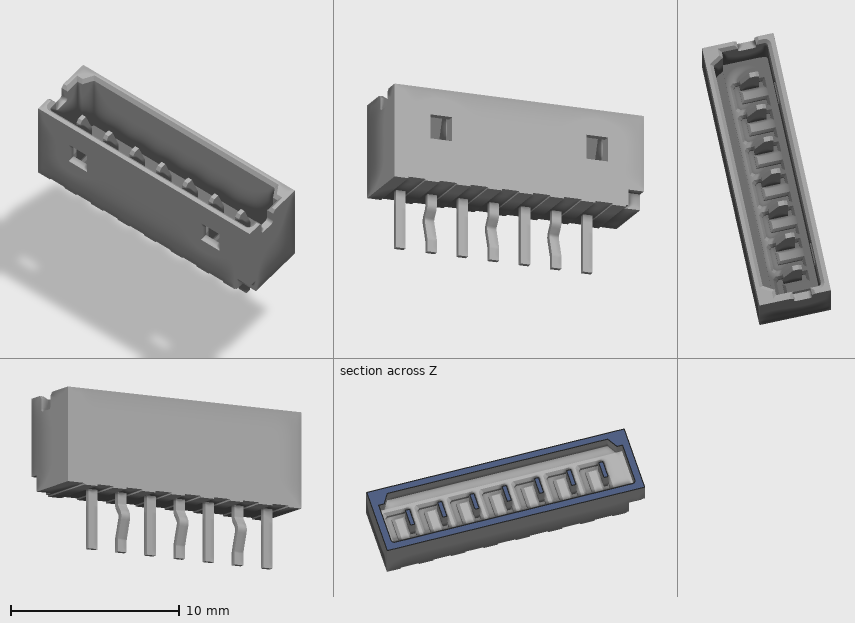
import cadquery as cq
import math


length = 16.0
depth = 4.35
height = 5.84
right = length / 2
front = -depth / 2
back = depth / 2

contact_count = 7
pitch = 2.0
first_contact_x = -6.56
contact_xs = [first_contact_x + i * pitch for i in range(contact_count)]

end_wall = 0.45
front_wall = 0.48
back_wall = 0.45
cavity_depth = 4.2
corner_radius = 0.2
mouth_flare = 0.2
bay_step = 0.65
bay_inset = 0.34
bay_run = 0.38
floor_z = height - cavity_depth
main_back = back - back_wall - bay_step

groove_depth = 0.1
centre_front = front + 0.91

pocket_width = 1.8
pocket_length = 2.11
pocket_depth = 0.34
rim = 0.16
pocket_corner = 0.15
island_width = 0.78
island_length = 1.63

blade_offset = 0.55
blade_width = 0.29
blade_front = front + 1.35
blade_top = height - 1.0
blade_top_front = front + 1.54
blade_top_back = front + 1.9
blade_back = front + 2.48
blade_tip_drop = 0.2
blade_back_drop = 1.54

leg_width = 0.6
leg_thickness = 0.34
leg_y = front + 2.72
leg_length = 3.5
embed = 0.16
kink_start = 0.82
kink_peak = 1.42
kink_end = 2.8
kink_offset = 0.46
bend_radius = 0.24

foot_height = 0.1
relief_width = 1.1
right_relief = 1.14
corner_cut_size = 1.0
corner_cut_depth = 0.6
window_spacing = 10.0
window_width = 1.4
window_height = 1.5
window_drop = 1.65
notch_front = front + 1.15
notch_back = front + 2.25
notch_depth = 1.0
notch_chamfer = 0.2
notch_radius = 0.2


def box(x0, x1, y0, y1, z0, z1):
    """Box between two opposite corners."""
    return cq.Workplane("XY").box(x1 - x0, y1 - y0, z1 - z0, centered=False).translate((x0, y0, z0))


def cavity_outline(plane, grow):
    """Rounded front corners and a narrower rear bay, enlarged on all sides by grow."""
    x = right - end_wall + grow
    y_front = front + front_wall - grow
    y_main = main_back + grow
    y_bay = back - back_wall + grow
    radius = corner_radius + grow
    sag = radius * (1 - math.sqrt(0.5))
    slant_grow = grow * (math.hypot(bay_run, bay_step) - bay_run) / bay_step
    slant_x = right - end_wall - bay_inset + slant_grow
    bay_x = slant_x - bay_run
    return (
        plane.moveTo(-x + radius, y_front)
        .lineTo(x - radius, y_front)
        .threePointArc((x - sag, y_front + sag), (x, y_front + radius))
        .lineTo(x, y_main)
        .lineTo(slant_x, y_main)
        .lineTo(bay_x, y_bay)
        .lineTo(-bay_x, y_bay)
        .lineTo(-slant_x, y_main)
        .lineTo(-x, y_main)
        .lineTo(-x, y_front + radius)
        .threePointArc((-x + sag, y_front + sag), (-x + radius, y_front))
        .close()
    )


def cavity():
    bottom = floor_z - groove_depth
    well = cavity_outline(cq.Workplane("XY").workplane(offset=bottom), 0).extrude(height - bottom)
    lower = cavity_outline(cq.Workplane("XY").workplane(offset=height - mouth_flare), 0)
    mouth = cavity_outline(lower.workplane(offset=mouth_flare), mouth_flare).loft(ruled=True)
    centre = box(-right, right, centre_front, main_back, bottom, floor_z)
    return well.union(mouth).cut(centre)


def end_notches():
    """Slot across both end walls, flared at the top and rounded at the bottom."""
    bottom = height - notch_depth
    slot = box(-right, right, notch_front, notch_back, bottom, height)
    slot = slot.edges("|X and <Z").fillet(notch_radius)
    flare = (
        cq.Workplane("YZ")
        .polyline([
            (notch_front, height - notch_chamfer),
            (notch_front - notch_chamfer, height),
            (notch_back + notch_chamfer, height),
            (notch_back, height - notch_chamfer),
        ])
        .close()
        .extrude(right, both=True)
    )
    return slot.union(flare)


def window(x):
    top = height - window_drop
    half = window_width / 2
    return box(x - half, x + half, front, front + front_wall, top - window_height, top)


def underside_relief():
    """Grooves that leave feet between the legs, and a relieved right-hand end."""
    cuts = box(right - right_relief, right, front, back, 0, foot_height)
    for x in contact_xs:
        cuts = cuts.union(box(x - relief_width / 2, x + relief_width / 2, front, back, 0, foot_height))
    return cuts


def corner_cut():
    top = foot_height + corner_cut_size
    return box(right - corner_cut_size, right, front, front + corner_cut_depth, 0, top)


def pocket_outline(plane, inset):
    half = pocket_width / 2 - inset
    y_front = centre_front + inset
    y_back = centre_front + pocket_length - inset
    return plane.polyline([
        (-half, y_front),
        (half, y_front),
        (half, y_back - pocket_corner),
        (half - pocket_corner, y_back),
        (-half + pocket_corner, y_back),
        (-half, y_back - pocket_corner),
    ]).close()


def island_outline(plane, inset):
    half = island_width / 2 - inset
    y_back = centre_front + island_length - inset
    return plane.polyline([
        (-half, centre_front),
        (half, centre_front),
        (half, y_back),
        (-half, y_back),
    ]).close()


def pocket():
    """U-shaped pocket with chamfered rims around a central island."""
    bottom = floor_z - pocket_depth
    neck = floor_z - rim
    low = cq.Workplane("XY").workplane(offset=bottom)
    mid = cq.Workplane("XY").workplane(offset=neck)
    hole = pocket_outline(low, rim).extrude(pocket_depth)
    hole = hole.union(pocket_outline(pocket_outline(mid, rim).workplane(offset=rim), 0).loft(ruled=True))
    island = island_outline(low, 0).extrude(neck - bottom)
    island = island.union(island_outline(island_outline(mid, 0).workplane(offset=rim), rim).loft(ruled=True))
    return hole.cut(island)


def blade():
    """Upright contact blade with a slanted back and a chamfered front tip."""
    bottom = floor_z - pocket_depth - embed
    return (
        cq.Workplane("YZ", origin=(blade_offset, 0, 0))
        .polyline([
            (blade_front, bottom),
            (blade_front, blade_top - blade_tip_drop),
            (blade_top_front, blade_top),
            (blade_top_back, blade_top),
            (blade_back, blade_top - blade_back_drop),
            (blade_back, bottom),
        ])
        .close()
        .extrude(blade_width / 2, both=True)
    )


def straight_leg():
    half = leg_thickness / 2
    return box(-leg_width / 2, leg_width / 2, leg_y - half, leg_y + half, -leg_length, foot_height + embed)


def kinked_leg():
    """Leg of constant thickness that bows out towards the back."""
    half = leg_thickness / 2
    out_angle = math.atan2(kink_offset, kink_peak - kink_start)
    in_angle = -math.atan2(kink_offset, kink_end - kink_peak)
    bends = [
        (leg_y, foot_height - kink_start, 0, out_angle),
        (leg_y + kink_offset, foot_height - kink_peak, out_angle, in_angle),
        (leg_y, foot_height - kink_end, in_angle, 0),
    ]

    def side(sign):
        """Mitred bend points on the back (+1) or front (-1) of the leg."""
        points = []
        for y, z, before, after in bends:
            mean = (before + after) / 2
            reach = sign * half / math.cos((after - before) / 2)
            points.append((y + reach * math.cos(mean), z + reach * math.sin(mean)))
        return points

    top = foot_height + embed
    front_side = side(-1)
    back_side = side(1)
    outline = [(leg_y - half, top)] + front_side + [(leg_y - half, -leg_length)]
    outline += [(leg_y + half, -leg_length)] + back_side[::-1] + [(leg_y + half, top)]
    leg = cq.Workplane("YZ").polyline(outline).close().extrude(leg_width / 2, both=True)
    outer_radius = bend_radius + leg_thickness
    front_radii = [outer_radius, bend_radius, outer_radius]
    back_radii = [bend_radius, outer_radius, bend_radius]
    for (y, z), radius in zip(front_side + back_side, front_radii + back_radii):
        leg = leg.edges("|X").edges(cq.NearestToPointSelector((0, y, z))).fillet(radius)
    return leg


housing = box(-right, right, front, back, 0, height)
housing = housing.cut(cavity()).cut(end_notches()).cut(underside_relief()).cut(corner_cut())
for window_x in (-window_spacing / 2, window_spacing / 2):
    housing = housing.cut(window(window_x))

contact_pocket = pocket()
contact_blade = blade()
legs = [straight_leg(), kinked_leg()]
result = housing
for index, contact_x in enumerate(contact_xs):
    place = (contact_x, 0, 0)
    result = result.cut(contact_pocket.translate(place))
    result = result.union(contact_blade.translate(place))
    result = result.union(legs[index % len(legs)].translate(place))